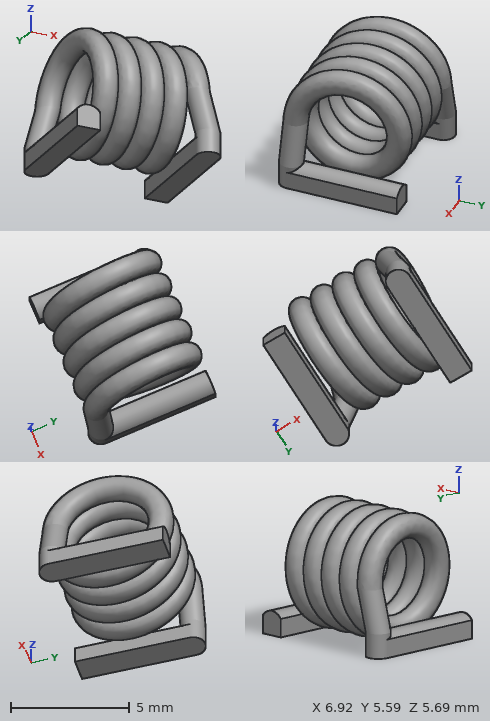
import cadquery as cq

length_x = 6.92
coil_diameter = 5.59
height = 5.69
wire_diameter = 1.07
pitch = 1.08
turns = 4.5
post_height = 1.07
foot_side_height = 0.81

wire_radius = wire_diameter / 2
coil_radius = coil_diameter / 2 - wire_radius
axis_z = height - coil_diameter / 2
coil_length = pitch * turns
coil_start_x = -coil_length / 2
post_x = -(length_x / 2 - wire_radius)


def make_coil():
    """Right-handed helix along X, from the +Y side to the -Y side."""
    path = cq.Workplane(cq.Wire.makeHelix(pitch, coil_length, coil_radius))
    coil = cq.Workplane("XZ").center(coil_radius, 0).circle(wire_radius).sweep(path, isFrenet=True)
    coil = coil.rotate((0, 0, 0), (1, 1, 1), 120)
    return coil.translate((coil_start_x, 0, axis_z))


def make_terminal():
    """Terminal at the -X end: post, slanted leg up to the coil, and foot."""
    post = cq.Workplane("XY").center(post_x, coil_radius).circle(wire_radius).extrude(post_height)
    leg = (
        cq.Workplane("XY", origin=(post_x, coil_radius, post_height))
        .circle(wire_radius)
        .workplane(offset=axis_z - post_height)
        .center(coil_start_x - post_x, 0)
        .circle(wire_radius)
        .loft(ruled=True)
    )
    foot = (
        cq.Workplane("XZ", origin=(post_x, coil_radius, 0))
        .moveTo(-wire_radius, 0)
        .lineTo(wire_radius, 0)
        .lineTo(wire_radius, foot_side_height)
        .threePointArc((0, post_height), (-wire_radius, foot_side_height))
        .close()
        .extrude(coil_radius + coil_diameter / 2)
    )
    return post.union(foot).union(leg)


start_terminal = make_terminal()
end_terminal = start_terminal.rotate((0, 0, 0), (0, 0, 1), 180)

result = make_coil().union(start_terminal).union(end_terminal)